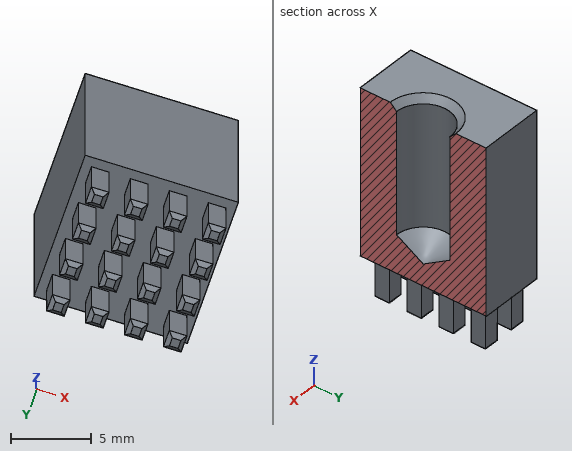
import cadquery as cq
import math

total_height = 16.5
body_side = 10.0
pin_length = 3.5
body_height = total_height - pin_length

pins_per_side = 4
pin_pitch = 2.54
pin_width = 1.15
tip_width = 0.56
tip_height = 0.3

hole_diameter = 4.2
hole_depth = 10.0
drill_point_angle = 118.0
countersink_size = 0.5


def make_body():
    """Square block with its base on Z = 0."""
    return cq.Workplane("XY").box(body_side, body_side, body_height, centered=(True, True, False))


def make_hole():
    """Revolved cutter: countersink, straight bore and conical drill point."""
    radius = hole_diameter / 2
    floor_z = body_height - hole_depth
    point_z = floor_z - radius / math.tan(math.radians(drill_point_angle / 2))
    return (
        cq.Workplane("XZ")
        .moveTo(0, body_height)
        .lineTo(radius + countersink_size, body_height)
        .lineTo(radius, body_height - countersink_size)
        .lineTo(radius, floor_z)
        .lineTo(0, point_z)
        .close()
        .revolve(360, (0, 0, 0), (0, 1, 0))
    )


def make_pins():
    """Square pins hanging from the base, each ending in a truncated pyramid."""
    shank_length = pin_length - tip_height
    grid = (pin_pitch, pin_pitch, pins_per_side, pins_per_side)
    taper_angle = math.degrees(math.atan((pin_width - tip_width) / 2 / tip_height))
    shanks = cq.Workplane("XY").rarray(*grid).rect(pin_width, pin_width).extrude(-shank_length)
    tips = (
        cq.Workplane("XY", origin=(0, 0, -shank_length))
        .rarray(*grid)
        .rect(pin_width, pin_width)
        .extrude(-tip_height, taper=taper_angle)
    )
    return shanks.union(tips)


result = make_body().cut(make_hole()).union(make_pins())